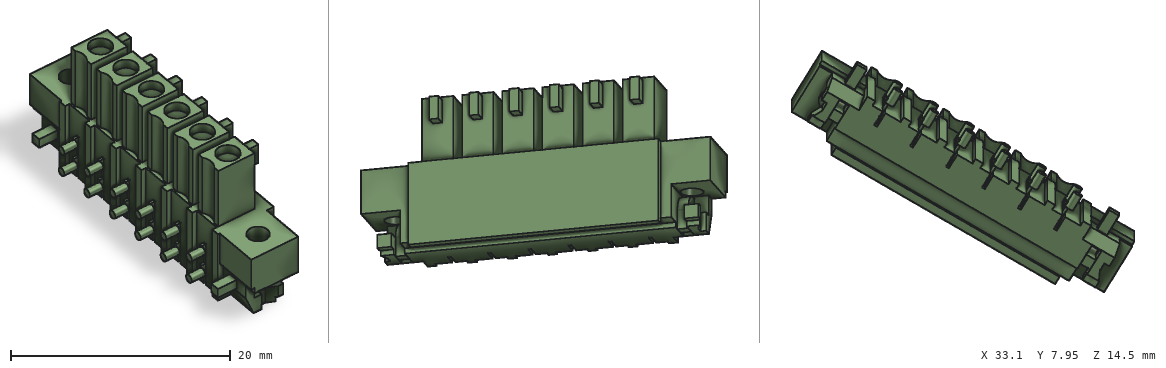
import cadquery as cq


pole_count = 6
pole_pitch = 3.8
pole_width = 3.0

body_half_length = 11.87
body_height = 7.9
body_back_y = 6.4
panel_y = 0.5

tower_front_y = 0.7
tower_back_y = 4.85
tower_top_z = 14.5
tower_hole_radius = 1.15
tower_hole_depth = 1.0
bore_y = 2.92
groove_half_width = 0.9
groove_depth = 0.3
key_width = 0.85
key_back_y = 6.1
key_bottom_z = 12.0
key_top_z = 14.2

overall_length = 33.15
ear_end = overall_length / 2
ear_front_y = 0.2
ear_back_y = 5.6
ear_bottom_z = 3.68
ear_hole_x = 14.05
ear_hole_radius = 1.05
ledge_y = 0.6
lip_bottom_z = 4.3

wall_end = 15.25
wall_back_y = 1.6
wall_chamfer_y = 1.5
wall_chamfer_z = 2.2
latch_top_z = 1.8
latch_back_y = 4.9
latch_slope_y = 4.3
latch_notch_x = 14.72
latch_notch_front_y = 2.42
latch_notch_back_y = 3.2

channel_front_y = 4.1
channel_height = 0.5

lug_size = 1.03
lug_outer_x = 13.9
lug_inner_x = lug_outer_x - lug_size
lug_top_z = 3.5
lug_back_y = 3.58
lug_bend_radius = 1.65
pin_front_y = -1.55

pin_diameter = 0.85
pin_radius = pin_diameter / 2
upper_pin_z = 4.38
lower_pin_z = 1.85
plate_thickness = 0.3
tab_height = 1.1
foot_front_y = 1.33
foot_bottom_z = 1.0
plate_back_y = 2.0
plate_top_z = upper_pin_z + pin_radius
plate_bottom_z = lower_pin_z - pin_radius

pole_positions = [(i - (pole_count - 1) / 2) * pole_pitch for i in range(pole_count)]


def box(x_range, y_range, z_range):
    """Block spanning the given (low, high) ranges."""
    return cq.Workplane("XY").box(
        x_range[1] - x_range[0], y_range[1] - y_range[0], z_range[1] - z_range[0], centered=False
    ).translate((x_range[0], y_range[0], z_range[0]))


def bar_along_x(outline, x_start, x_end):
    """Extrude a closed YZ outline from x_start to x_end."""
    return outline.extrude(x_end - x_start).translate((x_start, 0, 0))


def make_main_body():
    """Long block whose front panels are recessed between vertical ribs."""
    body = box((-body_half_length, body_half_length), (0, body_back_y), (0, body_height))
    for x in pole_positions:
        body = body.cut(box((x - pole_width / 2, x + pole_width / 2), (0, panel_y), (0, body_height)))
    return body


def make_tower(x):
    """Tower with a blind hole, a shallow round groove in front and a key at the back."""
    half_width = pole_width / 2
    tower = (
        cq.Workplane("XY", origin=(0, 0, body_height))
        .moveTo(x - half_width, tower_back_y)
        .lineTo(x - half_width, tower_front_y)
        .lineTo(x - groove_half_width, tower_front_y)
        .threePointArc((x, tower_front_y + groove_depth), (x + groove_half_width, tower_front_y))
        .lineTo(x + half_width, tower_front_y)
        .lineTo(x + half_width, tower_back_y)
        .close()
        .extrude(tower_top_z - body_height)
    )
    hole = (
        cq.Workplane("XY", origin=(x, bore_y, tower_top_z))
        .circle(tower_hole_radius)
        .extrude(-tower_hole_depth)
    )
    key = box(
        (x - key_width / 2, x + key_width / 2), (tower_back_y, key_back_y), (key_bottom_z, key_top_z)
    )
    return tower.cut(hole).union(key)


def make_right_ear():
    """Ear at +X: flange block with a through hole, and a front wall, a latch and a web under it."""
    flange = box((body_half_length, ear_end), (ear_front_y, ear_back_y), (ear_bottom_z, body_height))
    below_lip = box((body_half_length, ear_end), (ear_front_y, ledge_y), (ear_bottom_z, lip_bottom_z))
    hole = (
        cq.Workplane("XY", origin=(ear_hole_x, bore_y, ear_bottom_z))
        .circle(ear_hole_radius)
        .extrude(body_height - ear_bottom_z)
    )
    wall_outline = cq.Workplane("YZ").polyline([
        (ledge_y, ear_bottom_z),
        (ledge_y, wall_chamfer_z),
        (wall_chamfer_y, 0),
        (wall_back_y, 0),
        (wall_back_y, ear_bottom_z),
    ]).close()
    wall = bar_along_x(wall_outline, body_half_length, wall_end)
    latch = (
        cq.Workplane("XY")
        .polyline([
            (lug_outer_x, wall_back_y),
            (wall_end, wall_back_y),
            (wall_end, latch_notch_front_y),
            (latch_notch_x, latch_notch_front_y),
            (latch_notch_x, latch_notch_back_y),
            (wall_end, latch_slope_y),
            (wall_end, latch_back_y),
            (lug_outer_x, latch_back_y),
        ])
        .close()
        .extrude(latch_top_z)
    )
    web = box((body_half_length, lug_inner_x), (wall_back_y, ear_back_y), (0, ear_bottom_z))
    return flange.cut(below_lip).cut(hole).union(wall).union(latch).union(web)


def make_underside_channel():
    """Shallow channel running the whole length of the underside."""
    return box((-ear_end, ear_end), (channel_front_y, ear_back_y), (0, channel_height))


def make_right_lug():
    """Square bar at +X running back through the ear wall and bending down behind it."""
    bend_y = lug_back_y - lug_bend_radius
    bend_z = lug_top_z - lug_bend_radius
    inner_radius = lug_bend_radius - lug_size
    outline = (
        cq.Workplane("YZ")
        .moveTo(pin_front_y, lug_top_z)
        .lineTo(bend_y, lug_top_z)
        .radiusArc((lug_back_y, bend_z), lug_bend_radius)
        .lineTo(lug_back_y, 0)
        .lineTo(lug_back_y - lug_size, 0)
        .lineTo(lug_back_y - lug_size, bend_z)
        .radiusArc((bend_y, bend_z + inner_radius), -inner_radius)
        .lineTo(pin_front_y, lug_top_z - lug_size)
        .close()
    )
    return bar_along_x(outline, lug_inner_x, lug_outer_x)


def make_contact(x):
    """Upright plate with two tabs, each carrying a round pin."""
    plate_x = (x - pin_radius, x - pin_radius + plate_thickness)
    contact = box(plate_x, (panel_y, plate_back_y), (plate_bottom_z, plate_top_z))
    contact = contact.union(box(plate_x, (foot_front_y, plate_back_y), (foot_bottom_z, plate_top_z)))
    tab_bottoms = {upper_pin_z: plate_top_z - tab_height, lower_pin_z: plate_bottom_z}
    for pin_z, tab_z in tab_bottoms.items():
        tab = box(plate_x, (0, panel_y), (tab_z, tab_z + tab_height))
        pin = cq.Workplane("XZ", origin=(x, 0, pin_z)).circle(pin_radius).extrude(-pin_front_y)
        contact = contact.union(tab).union(pin)
    return contact


def make_contact_slot(x):
    """Slot in the front panel, open at the underside, that holds a contact plate."""
    slot_x = (x - pin_radius, x - pin_radius + plate_thickness)
    return box(slot_x, (panel_y, plate_back_y), (0, plate_top_z))


right_lug = make_right_lug()
lugs = [right_lug, right_lug.mirror("YZ")]

contacts = [make_contact(x) for x in pole_positions]

right_ear = make_right_ear().cut(right_lug)
housing = make_main_body().union(right_ear).union(right_ear.mirror("YZ"))
for x in pole_positions:
    housing = housing.union(make_tower(x)).cut(make_contact_slot(x))
housing = housing.cut(make_underside_channel())

result = cq.Compound.makeCompound(
    [housing.val(), *[lug.val() for lug in lugs], *[contact.val() for contact in contacts]]
)